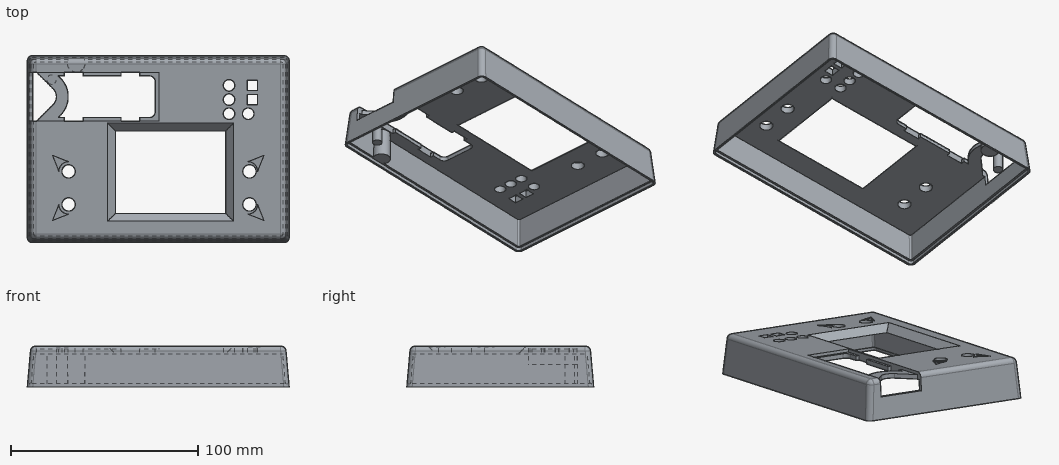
import cadquery as cq
import math

LENGTH, WIDTH, HEIGHT = 140.0, 100.0, 22.0
DRAFT = 5.0
EDGE_RADIUS = 3.0
WALL = 2.0
LID = 4.2
RIM_HEIGHT, RIM_DEPTH = 2.0, 1.0

BAY_END_X = 0.3
BAY_Y = 28.0
BAY_WIDTH = 26.0
BAY_SILL_Z = 12.2
LEDGE_DROP = 1.7
LEDGE_THICKNESS = LID - LEDGE_DROP
LEDGE_WIDTH = 2.0
LEDGE_CORNER_RADIUS = 3.0
GAP_STARTS_X = (-50.1, -19.9)
GAP_LENGTH = 10.0

BRIDGE_TIP_X = -52.0
BRIDGE_WIDTH = 6.9
BRIDGE_FRONT_RADIUS, BRIDGE_BACK_RADIUS = 6.0, 14.0

POST_X, POST_Y, POST_DIAMETER = -57.0, 37.1, 5.0
BOSS_X, BOSS_Y, BOSS_DIAMETER = -43.8, 45.9, 9.5

SCREEN_X, SCREEN_Y = 6.6, -12.3
SCREEN_LENGTH, SCREEN_WIDTH = 58.8, 44.0
SCREEN_BEVEL = LID

ROW_TOP_Y, ROW_PITCH = 34.0, 7.5
SMALL_HOLE_DIAMETER = 6.0
MODE_X, ALARM_X = 37.8, 48.0
SQUARE_X, SQUARE_SIZE = 50.3, 5.3

BUTTON_LEFT_X, BUTTON_RIGHT_X = -47.9, 48.7
BUTTON_LOW_Y, BUTTON_HIGH_Y = -29.5, -11.9
BUTTON_DIAMETER = 7.0
ARROW_X = 47.9
ARROW_REACH = 8.5
ARROW_ARC_RADIUS = 5.2
ENGRAVING_DEPTH = 0.5

LEDGE_TOP_Z = HEIGHT - LEDGE_DROP
CAVITY_TOP_Z = HEIGHT - LID


def block(x0, x1, y0, y1, z0, z1):
    """Box given by its limits along each axis."""
    return cq.Workplane("XY").box(x1 - x0, y1 - y0, z1 - z0, centered=False).translate((x0, y0, z0))


def cylinder(x, y, diameter, z0, z1):
    return cq.Workplane("XY", origin=(x, y, z0)).circle(diameter / 2).extrude(z1 - z0)


def drafted_block(inset, height, corner_radius):
    """Block inside the case outline by the inset, with drafted sides and round corners."""
    body = cq.Workplane("XY").rect(LENGTH - 2 * inset, WIDTH - 2 * inset).extrude(height, taper=DRAFT)
    return body.edges("not(#Z)").fillet(corner_radius)


def case_outside():
    return drafted_block(0, HEIGHT, EDGE_RADIUS).faces(">Z").edges().fillet(EDGE_RADIUS)


def case_shell():
    cavity = drafted_block(WALL, CAVITY_TOP_Z, EDGE_RADIUS - WALL)
    rim = drafted_block(WALL - RIM_DEPTH, RIM_HEIGHT, EDGE_RADIUS - WALL + RIM_DEPTH)
    return case_outside().cut(cavity).cut(rim)


def bay_opening():
    """Pocket through the lid that also notches the -X wall."""
    y0, y1 = BAY_Y - BAY_WIDTH / 2, BAY_Y + BAY_WIDTH / 2
    return block(-LENGTH / 2, BAY_END_X, y0, y1, BAY_SILL_Z, HEIGHT)


def bridge_edge(tip_x, radius):
    """Region to the -X side of a rounded 45 degree V edge."""
    reach = BAY_WIDTH
    arc_centre_x = tip_x - radius * math.sqrt(2)
    tangent = radius * math.sqrt(0.5)
    return (
        cq.Workplane("XY", origin=(0, BAY_Y, CAVITY_TOP_Z))
        .moveTo(tip_x - reach, -reach)
        .lineTo(arc_centre_x + tangent, -tangent)
        .threePointArc((arc_centre_x + radius, 0), (arc_centre_x + tangent, tangent))
        .lineTo(tip_x - reach, reach)
        .close()
        .extrude(LEDGE_THICKNESS)
    )


def bay_frame():
    """Ledges around the bay and the bridge, filling the bay outline."""
    y0, y1 = BAY_Y - BAY_WIDTH / 2, BAY_Y + BAY_WIDTH / 2
    z0, z1 = CAVITY_TOP_Z, LEDGE_TOP_Z
    frame = block(-LENGTH / 2, BAY_END_X, y0, y1, z0, z1)
    window = block(-LENGTH / 2, BAY_END_X - LEDGE_WIDTH, y0 + LEDGE_WIDTH, y1 - LEDGE_WIDTH, z0, z1)
    window = window.edges("|Z and >X").fillet(LEDGE_CORNER_RADIUS)
    for x in GAP_STARTS_X:
        window = window.union(block(x, x + GAP_LENGTH, y0, y1, z0, z1))

    back_tip_x = BRIDGE_TIP_X + BRIDGE_WIDTH * math.sqrt(2)
    front = bridge_edge(BRIDGE_TIP_X, BRIDGE_FRONT_RADIUS)
    back = bridge_edge(back_tip_x, BRIDGE_BACK_RADIUS)
    return frame.cut(window.cut(back)).cut(front)


def supports():
    post = cylinder(POST_X, POST_Y, POST_DIAMETER, RIM_HEIGHT, LEDGE_TOP_Z)
    boss = cylinder(BOSS_X, BOSS_Y, BOSS_DIAMETER, RIM_HEIGHT, CAVITY_TOP_Z)
    return post.union(boss.intersect(case_outside()))


def screen_window():
    return (
        cq.Workplane("XY", origin=(SCREEN_X, SCREEN_Y, CAVITY_TOP_Z))
        .rect(SCREEN_LENGTH, SCREEN_WIDTH)
        .workplane(offset=LID)
        .rect(SCREEN_LENGTH + 2 * SCREEN_BEVEL, SCREEN_WIDTH + 2 * SCREEN_BEVEL)
        .loft(ruled=True)
    )


def control_holes():
    rows = [ROW_TOP_Y - ROW_PITCH * i for i in range(3)]
    lid_plane = cq.Workplane("XY", origin=(0, 0, CAVITY_TOP_Z))
    round_centres = [(MODE_X, y) for y in rows] + [(ALARM_X, rows[-1])]
    round_holes = lid_plane.pushPoints(round_centres).circle(SMALL_HOLE_DIAMETER / 2).extrude(LID)
    square_centres = [(SQUARE_X, y) for y in rows[:2]]
    squares = lid_plane.pushPoints(square_centres).rect(SQUARE_SIZE, SQUARE_SIZE).extrude(LID)
    return round_holes.union(squares)


def arrow(y, side_x, side_y):
    """Engraved arrow; the sides (+1 or -1) say where it points."""
    arc_middle = ARROW_ARC_RADIUS * math.sqrt(0.5)
    return (
        cq.Workplane("XY", origin=(side_x * ARROW_X, y, HEIGHT - ENGRAVING_DEPTH))
        .moveTo(0, side_y * ARROW_ARC_RADIUS)
        .lineTo(side_x * ARROW_REACH, side_y * ARROW_REACH)
        .lineTo(side_x * ARROW_ARC_RADIUS, 0)
        .threePointArc((side_x * arc_middle, side_y * arc_middle), (0, side_y * ARROW_ARC_RADIUS))
        .close()
        .extrude(ENGRAVING_DEPTH)
    )


result = case_shell().cut(bay_opening()).union(bay_frame()).union(supports())
result = result.cut(screen_window()).cut(control_holes())
for button_x, side_x in ((BUTTON_LEFT_X, -1), (BUTTON_RIGHT_X, 1)):
    for button_y, side_y in ((BUTTON_LOW_Y, -1), (BUTTON_HIGH_Y, 1)):
        result = result.cut(cylinder(button_x, button_y, BUTTON_DIAMETER, CAVITY_TOP_Z, HEIGHT))
        result = result.cut(arrow(button_y, side_x, side_y))